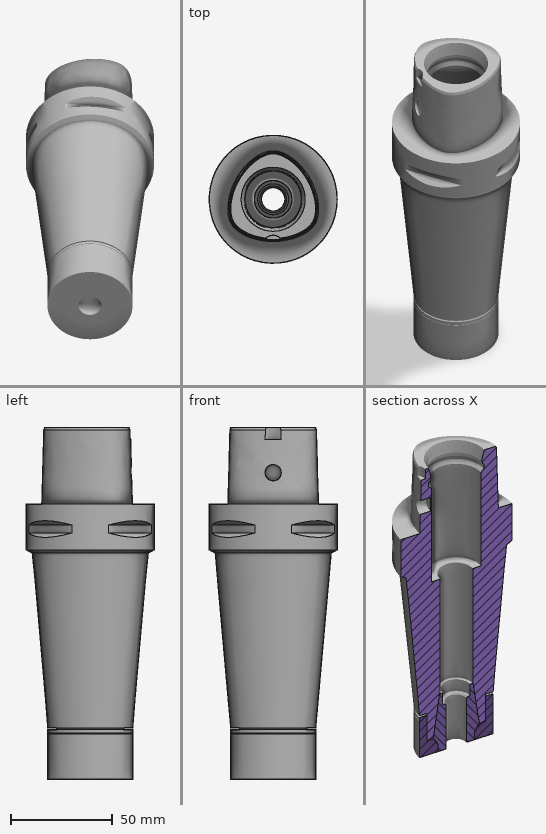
import cadquery as cq
import math

LENGTH = 173.0

SHANK_BASE_Z = 135.3
SHANK_BASE_RADIUS = 22.3
SHANK_LOBE = 1.5
SHANK_TAPER = 0.027
SHANK_CHAMFER_HEIGHT = 1.4
SHANK_CHAMFER_INSET = 0.5
OUTLINE_POINTS = 60

NOTCH_RADIUS = 4.8
NOTCH_DEPTH = 5.9
NOTCH_Y = -22.5
CROSS_HOLE_RADIUS = 4.0
CROSS_HOLE_Z = 150.7
CROSS_HOLE_FLOOR_Y = -14.7

FLANGE_RADIUS = 31.5
FLANGE_BOTTOM_Z = 112.8
FLANGE_CHAMFER_HEIGHT = 1.5
SLOT_COUNT = 4
SLOT_Z = 123.0
SLOT_FLOOR_HEIGHT = 3.8
SLOT_DEPTH = 3.8
SLOT_FLANK_ANGLE = 30.0

BODY_TOP_RADIUS = 28.5
BODY_BOTTOM_RADIUS = 21.0
BODY_BOTTOM_Z = 25.3
NECK_RADIUS = 16.6
NECK_BOTTOM_Z = 8.6

SOCKET_MOUTH_RADIUS = 15.7
SOCKET_THROAT_RADIUS = 14.0
SOCKET_THROAT_Z = LENGTH - 6.4
SOCKET_STEP_RADIUS = 14.5
SOCKET_STEP_Z = LENGTH - 8.6
SOCKET_GROOVE_RADIUS = 15.5
SOCKET_GROOVE_Z = LENGTH - 11.2
BORE_RADIUS = 13.8
BORE_FLOOR_Z = 103.8
PASSAGE_RADIUS = 9.2

COLLET_LENGTH = 34.6
COLLET_RADIUS = 13.0
COLLET_ANGLE = 8.0
COLLET_FRONT_RADIUS = 10.4
COLLET_FRONT_ANGLE = 30.0
COLLET_TOP_RADIUS = COLLET_RADIUS - (COLLET_LENGTH - NECK_BOTTOM_Z) * math.tan(math.radians(COLLET_ANGLE))
COLLET_FRONT_Z = (
    NECK_BOTTOM_Z - (COLLET_RADIUS - COLLET_FRONT_RADIUS) / math.tan(math.radians(COLLET_FRONT_ANGLE))
)
COLLET_RELIEF_RADIUS = 7.6
COLLET_RELIEF_DEPTH = 7.0
COLLET_BORE_RADIUS = 5.7
COLLET_LEAD_IN = 0.9

NUT_RADIUS = 21.0
NUT_TOP_Z = 24.4
NUT_GROOVE_TOP_Z = 22.8
NUT_GROOVE_HEIGHT = 0.5
NUT_GROOVE_DEPTH = 0.2


def revolve(points):
    """Turn a closed outline of (radius, z) points about the Z axis."""
    return cq.Workplane("XZ").polyline(points).close().revolve(360, (0, 0, 0), (0, 1, 0))


def shank_outline(radius, z):
    """Closed three-lobed curve of the given mean radius at height z, with a lobe towards +Y."""
    points = []
    for i in range(OUTLINE_POINTS):
        angle = 2 * math.pi * i / OUTLINE_POINTS
        across = radius * math.sin(angle) + SHANK_LOBE * (2 * math.sin(2 * angle) + math.sin(4 * angle))
        along = radius * math.cos(angle) - SHANK_LOBE * (2 * math.cos(2 * angle) - math.cos(4 * angle))
        points.append(cq.Vector(across, -along, z))
    return cq.Wire.assembleEdges([cq.Edge.makeSpline(points, periodic=True)])


def shank_frustum(bottom_z, bottom_radius, top_z, top_radius):
    outlines = [shank_outline(bottom_radius, bottom_z), shank_outline(top_radius, top_z)]
    return cq.Workplane(cq.Solid.makeLoft(outlines, True))


def make_shank():
    chamfer_z = LENGTH - SHANK_CHAMFER_HEIGHT
    chamfer_radius = SHANK_BASE_RADIUS - SHANK_TAPER * (chamfer_z - SHANK_BASE_Z)
    cone = shank_frustum(SHANK_BASE_Z, SHANK_BASE_RADIUS, chamfer_z, chamfer_radius)
    chamfer = shank_frustum(chamfer_z, chamfer_radius, LENGTH, chamfer_radius - SHANK_CHAMFER_INSET)
    notch = (
        cq.Workplane("XY", origin=(0, NOTCH_Y, LENGTH - NOTCH_DEPTH))
        .circle(NOTCH_RADIUS)
        .extrude(NOTCH_DEPTH)
    )
    cross_hole = (
        cq.Workplane("XZ", origin=(0, CROSS_HOLE_FLOOR_Y, CROSS_HOLE_Z))
        .circle(CROSS_HOLE_RADIUS)
        .extrude(FLANGE_RADIUS)
    )
    return cone.union(chamfer).cut(notch).cut(cross_hole)


def make_gripper_slot(angle):
    """Straight trapezoidal cutter, square to the radius at the given angle in degrees."""
    floor_x = FLANGE_RADIUS - SLOT_DEPTH
    half_floor = SLOT_FLOOR_HEIGHT / 2
    half_mouth = half_floor + SLOT_DEPTH * math.tan(math.radians(SLOT_FLANK_ANGLE))
    return (
        cq.Workplane("XZ")
        .polyline([
            (floor_x, SLOT_Z - half_floor),
            (FLANGE_RADIUS, SLOT_Z - half_mouth),
            (FLANGE_RADIUS, SLOT_Z + half_mouth),
            (floor_x, SLOT_Z + half_floor),
        ])
        .close()
        .extrude(FLANGE_RADIUS, both=True)
        .rotate((0, 0, 0), (0, 0, 1), angle)
    )


def make_turned_body():
    """Flange, tapered body and neck."""
    body_top_z = FLANGE_BOTTOM_Z - FLANGE_CHAMFER_HEIGHT
    body = revolve([
        (0, NECK_BOTTOM_Z),
        (NECK_RADIUS, NECK_BOTTOM_Z),
        (NECK_RADIUS, BODY_BOTTOM_Z),
        (BODY_BOTTOM_RADIUS, BODY_BOTTOM_Z),
        (BODY_TOP_RADIUS, body_top_z),
        (FLANGE_RADIUS, FLANGE_BOTTOM_Z),
        (FLANGE_RADIUS, SHANK_BASE_Z),
        (0, SHANK_BASE_Z),
    ])
    for i in range(SLOT_COUNT):
        body = body.cut(make_gripper_slot(360 / SLOT_COUNT * (i + 0.5)))
    return body


def make_collet_envelope():
    """Solid outer shape of the collet, also the seat it fills in the holder and the nut."""
    return revolve([
        (0, 0),
        (COLLET_FRONT_RADIUS, 0),
        (COLLET_FRONT_RADIUS, COLLET_FRONT_Z),
        (COLLET_RADIUS, NECK_BOTTOM_Z),
        (COLLET_TOP_RADIUS, COLLET_LENGTH),
        (0, COLLET_LENGTH),
    ])


def make_holder():
    groove_cone_bottom_z = SOCKET_GROOVE_Z - (SOCKET_GROOVE_RADIUS - BORE_RADIUS)
    bore = revolve([
        (0, LENGTH),
        (SOCKET_MOUTH_RADIUS, LENGTH),
        (SOCKET_THROAT_RADIUS, SOCKET_THROAT_Z),
        (SOCKET_STEP_RADIUS, SOCKET_THROAT_Z),
        (SOCKET_STEP_RADIUS, SOCKET_STEP_Z),
        (SOCKET_GROOVE_RADIUS, SOCKET_STEP_Z),
        (SOCKET_GROOVE_RADIUS, SOCKET_GROOVE_Z),
        (BORE_RADIUS, groove_cone_bottom_z),
        (BORE_RADIUS, BORE_FLOOR_Z),
        (PASSAGE_RADIUS, BORE_FLOOR_Z),
        (PASSAGE_RADIUS, COLLET_LENGTH),
        (0, COLLET_LENGTH),
    ])
    return make_turned_body().union(make_shank()).cut(bore).cut(make_collet_envelope())


def make_collet():
    relief_floor_z = COLLET_LENGTH - COLLET_RELIEF_DEPTH
    bore = revolve([
        (0, 0),
        (COLLET_BORE_RADIUS, 0),
        (COLLET_BORE_RADIUS, relief_floor_z - COLLET_LEAD_IN),
        (COLLET_BORE_RADIUS + COLLET_LEAD_IN, relief_floor_z),
        (COLLET_RELIEF_RADIUS, relief_floor_z),
        (COLLET_RELIEF_RADIUS, COLLET_LENGTH),
        (0, COLLET_LENGTH),
    ])
    return make_collet_envelope().cut(bore)


def make_nut():
    """Nut with a shallow ring groove, bored to take the neck and the front of the collet."""
    groove_radius = NUT_RADIUS - NUT_GROOVE_DEPTH
    groove_bottom_z = NUT_GROOVE_TOP_Z - NUT_GROOVE_HEIGHT
    return revolve([
        (COLLET_FRONT_RADIUS, 0),
        (NUT_RADIUS, 0),
        (NUT_RADIUS, groove_bottom_z),
        (groove_radius, groove_bottom_z),
        (groove_radius, NUT_GROOVE_TOP_Z),
        (NUT_RADIUS, NUT_GROOVE_TOP_Z),
        (NUT_RADIUS, NUT_TOP_Z),
        (NECK_RADIUS, NUT_TOP_Z),
        (NECK_RADIUS, NECK_BOTTOM_Z),
        (COLLET_RADIUS, NECK_BOTTOM_Z),
        (COLLET_FRONT_RADIUS, COLLET_FRONT_Z),
    ])


holder = make_holder()
collet = make_collet()
nut = make_nut()

result = cq.Compound.makeCompound([body.solids().val() for body in (holder, collet, nut)])